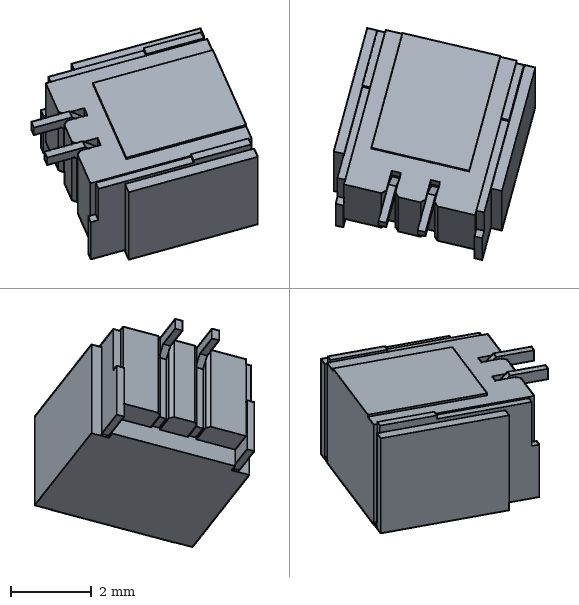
import cadquery as cq


total_width = 4.3
total_depth = 5.0
total_height = 2.9

core_half_width = 1.675
core_depth = 4.24
pad_half_width = 1.25
pad_depth = 3.15
pad_height = 0.06
core_height = total_height - pad_height
overhang_depth = 0.64
overhang_bottom = 0.5
lower_depth = core_depth - overhang_depth

tab_thickness = 0.2
wall_inner = core_half_width + tab_thickness
wall_outer = total_width / 2
wall_inset = 0.01
wall_front = 3.4
wall_height = 2.7
tab_floor = 0.06

tab_back = 0.09
tab_ledge_start = 1.6
tab_ledge_height = 2.8
tab_step_depth = 4.1
tab_foot_depth = 4.3
tab_foot_height = 1.55

pin_pitch = 1.0
pin_width = 0.2
pin_bar_height = 0.3
pin_leg_bottom = 0.55
pin_back_flat = 0.035
pin_top_bevel = 0.36
pin_under_bevel = 0.25
pin_leg_thickness = 0.43
slot_width = 0.235
slot_chamfer = 0.1

side_signs = (-1, 1)
pin_positions = [sign * pin_pitch / 2 for sign in side_signs]


def block(x_a, x_b, depth_a, depth_b, z_a, z_b):
    """Box between two X values, two depths measured from the back face, and two Z values."""
    x_min = min(x_a, x_b)
    size = (abs(x_b - x_a), depth_b - depth_a, z_b - z_a)
    return cq.Workplane("XY").box(*size, centered=False).translate((x_min, -depth_b, z_a))


def side_profile(points, thickness, x_start):
    """Outline of (depth, Z) points extruded along +X from x_start."""
    outline = [(-depth, z) for depth, z in points]
    return cq.Workplane("YZ", origin=(x_start, 0, 0)).polyline(outline).close().extrude(thickness)


def make_pin_slot(x_center):
    """Vertical slot cutter, flared by chamfers at the front face."""
    half = slot_width / 2
    mouth = half + slot_chamfer
    outline = [
        (-half, -lower_depth),
        (half, -lower_depth),
        (half, -core_depth + slot_chamfer),
        (mouth, -core_depth),
        (-mouth, -core_depth),
        (-half, -core_depth + slot_chamfer),
    ]
    plane = cq.Workplane("XY", origin=(x_center, 0, overhang_bottom))
    return plane.polyline(outline).close().extrude(core_height - overhang_bottom)


def make_housing():
    """Core block with its raised pad, side walls joined by thin floors, and pin slots."""
    housing = block(-core_half_width, core_half_width, 0, lower_depth, 0, core_height)
    overhang = block(-core_half_width, core_half_width, lower_depth, core_depth, overhang_bottom, core_height)
    pad = block(-pad_half_width, pad_half_width, 0, pad_depth, core_height, total_height)
    housing = housing.union(overhang).union(pad)
    for sign in side_signs:
        wall = block(sign * wall_inner, sign * wall_outer, wall_inset, wall_front, 0, wall_height)
        floor = block(sign * core_half_width, sign * wall_inner, wall_inset, wall_front, 0, tab_floor)
        housing = housing.union(floor).union(wall)
    for x_center in pin_positions:
        housing = housing.cut(make_pin_slot(x_center))
    return housing


def make_solder_tab(sign):
    """Stepped upright plate between the core and a side wall."""
    outline = [
        (tab_back, tab_floor),
        (tab_back, total_height),
        (tab_ledge_start, total_height),
        (tab_ledge_start, tab_ledge_height),
        (tab_step_depth, tab_ledge_height),
        (tab_step_depth, tab_foot_height),
        (tab_foot_depth, tab_foot_height),
        (tab_foot_depth, tab_floor),
    ]
    x_start = min(sign * core_half_width, sign * wall_inner)
    return side_profile(outline, tab_thickness, x_start)


def make_pin(x_center):
    """Upright leg against the back of its slot, bent forward into a bar; both bevels are at 45 degrees."""
    leg_back = lower_depth
    leg_front = leg_back + pin_leg_thickness
    bevel_back = leg_back + pin_back_flat
    bar_bottom = total_height - pin_bar_height
    outline = [
        (leg_back, pin_leg_bottom),
        (leg_back, total_height - pin_top_bevel),
        (bevel_back, total_height - pin_top_bevel),
        (bevel_back + pin_top_bevel, total_height),
        (total_depth, total_height),
        (total_depth, bar_bottom),
        (leg_front + pin_under_bevel, bar_bottom),
        (leg_front, bar_bottom - pin_under_bevel),
        (leg_front, pin_leg_bottom),
    ]
    return side_profile(outline, pin_width, x_center - pin_width / 2)


housing = make_housing()
solder_tabs = [make_solder_tab(sign) for sign in side_signs]
pins = [make_pin(x_center) for x_center in pin_positions]

result = cq.Compound.makeCompound(
    [housing.val()] + [tab.val() for tab in solder_tabs] + [pin.val() for pin in pins]
)